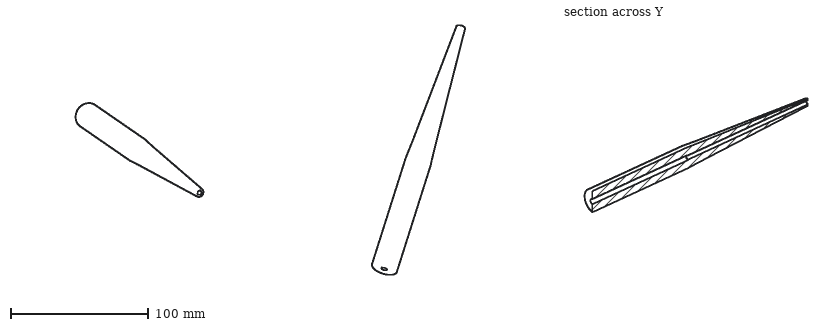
import cadquery as cq

total_length = 203.2
shank_diameter = 19.0
shank_length = 90.0
shank_rounding = 1.0
collar_length = 13.0
collar_end_diameter = 17.3
tip_diameter = 6.7
tip_rounding = 0.6
bore_diameter = 3.3
rear_bore_diameter = 4.0
rear_bore_depth = shank_length

shank_radius = shank_diameter / 2
tip_radius = tip_diameter / 2
collar_end_radius = collar_end_diameter / 2
collar_end = shank_length + collar_length


def make_body():
    """Revolve the shank, short collar taper and long tip taper about X."""
    profile = (
        cq.Workplane("XY")
        .lineTo(0, shank_radius - shank_rounding)
        .radiusArc((shank_rounding, shank_radius), shank_rounding)
        .lineTo(shank_length, shank_radius)
        .lineTo(collar_end, collar_end_radius)
        .lineTo(total_length - tip_rounding, tip_radius)
        .radiusArc((total_length, tip_radius - tip_rounding), tip_rounding)
        .lineTo(total_length, 0)
        .close()
    )
    return profile.revolve(360, (0, 0, 0), (1, 0, 0))


def make_bore(diameter, depth):
    """Cylinder on the axis, starting at the rear face."""
    return cq.Workplane("YZ").circle(diameter / 2).extrude(depth)


through_bore = make_bore(bore_diameter, total_length)
rear_bore = make_bore(rear_bore_diameter, rear_bore_depth)
result = make_body().cut(through_bore).cut(rear_bore)